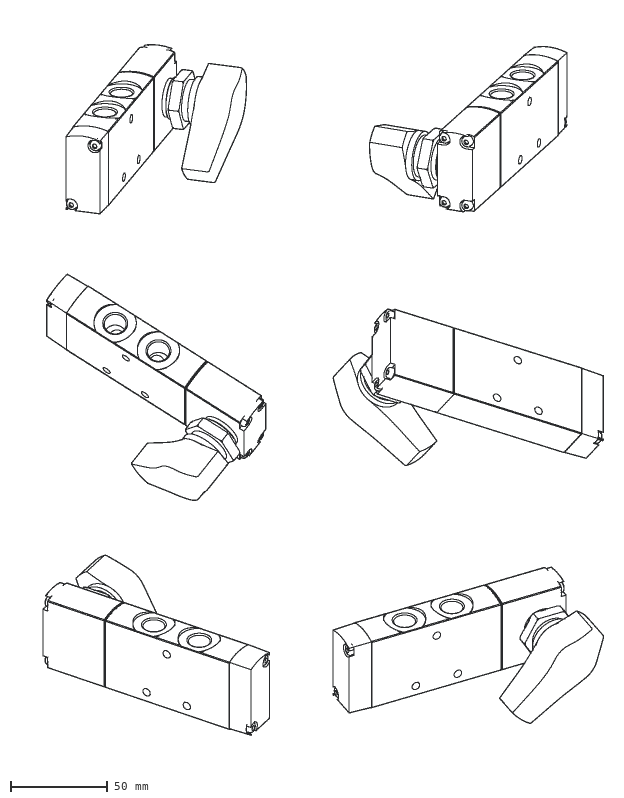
import cadquery as cq
import math


THICKNESS = 19.8
SHOULDER_HEIGHT = 42.0
CROWN_HEIGHT = 43.7
EDGE_CHAMFER = 0.4
CAP_INSET = 0.4
CAP_RIGHT_INSET = 0.1
CAP_TAPER = 1.5
COLLAR_SIDE_INSET = 0.4
COLLAR_TOP_INSET = 0.6

CAP_LENGTH = 13.0
BODY_END = 88.2
COLLAR_LENGTH = 0.8
HOUSING_END = 126.1

PORT_MIDDLE_Y = 50.8
PORT_SPACING = 27.5
SPOTFACE_DIAMETER = 22.0
PORT_DIAMETER = 11.4
PORT_MOUTH_DIAMETER = 13.0
PORT_MOUTH_DEPTH = 0.8
PORT_DEPTH = 13.0
PASSAGE_DIAMETER = 7.0
PASSAGE_DEPTH = 7.8
PASSAGE_OFFSET = 1.0

MOUNTING_DIAMETER = 4.4
UPPER_MOUNTING_Z = 34.0
LOWER_MOUNTING_Z = 6.0
LOWER_MOUNTING_SPACING = 24.5

RECESS_DIAMETER = 7.0
RECESS_DEPTH = 2.8
FRONT_SCREW_SIDE_DISTANCE = 3.5
REAR_SCREW_SIDE_DISTANCE = 3.6
FRONT_LOWER_SCREW_Z = 3.5
FRONT_UPPER_SCREW_Z = 38.4
REAR_LOWER_SCREW_Z = 3.2
REAR_UPPER_SCREW_Z = 39.3
HEAD_DIAMETER = 6.0
HEAD_RIM_HEIGHT = 0.8
HEAD_HEIGHT = 2.6
HEAD_FLAT_DIAMETER = 3.0
DOME_BULGE = 0.4
SOCKET_DIAMETER = 2.5
SOCKET_DEPTH = 1.3

OPERATOR_Y = 111.9
OPERATOR_Z = 21.1
STEM_DIAMETER = 22.0
NECK_DIAMETER = 20.5
NECK_GROOVE_DEPTH = 0.4
NECK_END_X = 22.1
NUT_START_X = 24.8
NUT_END_X = 30.8
NUT_ACROSS_FLATS = 27.0
NUT_CHAMFER = 0.5
FLANGE_START_X = 34.8
FLANGE_DIAMETER = 26.0
LEVER_START_X = 38.3
LEVER_PEAK_X = 59.5

LEVER_ANGLE = 45
TIP_RADIUS = 41.5
TIP_HALF_WIDTH = 7.2
ARM_START = 24.0
ARM_START_HALF_WIDTH = 8.7
HUB_FRONT = 3.8
HUB_REAR = 6.5
ARM_BLEND_SAG = 0.5
TAIL_BLEND_SAG = 0.1
TAIL_START = 14.5
TAIL_START_HALF_WIDTH = 7.1
TAIL_RADIUS = 20.6
TAIL_HALF_WIDTH = 4.7
END_FILLET = 1.3

FACE_CROSS_RADIUS = 51.7
FACE_LENGTH_RADIUS = 80.2
FACE_SLOPE = 9.5
FACE_MARGIN = 2.6
FACE_MARGIN_ANGLE = 5


def crowned_section(start, end, left=0.0, bottom=0.0, right=0.0, top=0.0, taper=0.0):
    """Bar of the common section between two Y positions, inset on each side by the given amounts.

    A taper in degrees narrows the bar from its start to its end.
    """
    middle_x = (left + THICKNESS - right) / 2
    return (
        cq.Workplane("XZ", origin=(0, start, 0))
        .moveTo(left, bottom)
        .lineTo(THICKNESS - right, bottom)
        .lineTo(THICKNESS - right, SHOULDER_HEIGHT - top)
        .threePointArc((middle_x, CROWN_HEIGHT - top), (left, SHOULDER_HEIGHT - top))
        .close()
        .extrude(start - end, taper=taper)
    )


def box_between(x_range, y_range, z_range):
    """Box given by its lowest and highest X, Y and Z."""
    sizes = [high - low for low, high in (x_range, y_range, z_range)]
    corner = (x_range[0], y_range[0], z_range[0])
    return cq.Workplane("XY", origin=corner).box(*sizes, centered=False)


def end_plane(x, y, z, outward):
    """Plane on an end face at the given point; outward is -1 or 1 along Y."""
    return cq.Plane(origin=(x, y, z), xDir=(1, 0, 0), normal=(0, outward, 0))


def screw_recess(x, end_y, z, outward):
    """Round recess that goes into an end face."""
    plane = end_plane(x, end_y, z, outward)
    return cq.Workplane(plane).circle(RECESS_DIAMETER / 2).extrude(-RECESS_DEPTH)


def screw_head(x, end_y, z, outward):
    """Button head with a round socket, standing on the floor of its recess."""
    floor_y = end_y - outward * RECESS_DEPTH
    middle_radius = (HEAD_DIAMETER + HEAD_FLAT_DIAMETER) / 4 + DOME_BULGE
    middle_height = (HEAD_RIM_HEIGHT + HEAD_HEIGHT) / 2 + DOME_BULGE
    socket_floor = HEAD_HEIGHT - SOCKET_DEPTH
    plane = cq.Plane(origin=(x, floor_y, z), xDir=(1, 0, 0), normal=(0, 0, outward))
    return (
        cq.Workplane(plane)
        .lineTo(HEAD_DIAMETER / 2, 0)
        .lineTo(HEAD_DIAMETER / 2, HEAD_RIM_HEIGHT)
        .threePointArc((middle_radius, middle_height), (HEAD_FLAT_DIAMETER / 2, HEAD_HEIGHT))
        .lineTo(SOCKET_DIAMETER / 2, HEAD_HEIGHT)
        .lineTo(SOCKET_DIAMETER / 2, socket_floor)
        .lineTo(0, socket_floor)
        .close()
        .revolve(360, (0, 0), (0, 1))
    )


def make_valve_body():
    body = crowned_section(CAP_LENGTH, BODY_END).edges("|Y").chamfer(EDGE_CHAMFER)
    middle_x = THICKNESS / 2

    for side in (-1, 1):
        port_y = PORT_MIDDLE_Y + side * PORT_SPACING / 2
        passage_y = port_y - side * PASSAGE_OFFSET
        face = cq.Workplane("XY", origin=(middle_x, port_y, SHOULDER_HEIGHT))
        spotface = face.circle(SPOTFACE_DIAMETER / 2).extrude(CROWN_HEIGHT - SHOULDER_HEIGHT)
        bore = face.circle(PORT_DIAMETER / 2).extrude(-PORT_DEPTH)
        mouth = (
            face.circle(PORT_MOUTH_DIAMETER / 2)
            .workplane(offset=-PORT_MOUTH_DEPTH)
            .circle(PORT_DIAMETER / 2)
            .loft()
        )
        passage = (
            cq.Workplane("XY", origin=(middle_x, passage_y, SHOULDER_HEIGHT - PORT_DEPTH))
            .circle(PASSAGE_DIAMETER / 2)
            .extrude(-PASSAGE_DEPTH)
        )
        body = body.cut(spotface).cut(bore).cut(mouth).cut(passage)

    mounting_points = [
        (PORT_MIDDLE_Y, UPPER_MOUNTING_Z),
        (PORT_MIDDLE_Y - LOWER_MOUNTING_SPACING / 2, LOWER_MOUNTING_Z),
        (PORT_MIDDLE_Y + LOWER_MOUNTING_SPACING / 2, LOWER_MOUNTING_Z),
    ]
    mounting_holes = (
        cq.Workplane("YZ").pushPoints(mounting_points).circle(MOUNTING_DIAMETER / 2).extrude(THICKNESS)
    )
    return body.cut(mounting_holes)


def make_front_cap():
    """Cap that tapers to its free end, with screws in opposite corners whose recesses break the walls."""
    cap = crowned_section(
        CAP_LENGTH, 0, left=CAP_INSET, bottom=CAP_INSET, right=CAP_RIGHT_INSET, taper=CAP_TAPER
    )
    left_x = FRONT_SCREW_SIDE_DISTANCE
    right_x = THICKNESS - FRONT_SCREW_SIDE_DISTANCE
    for x, z in ((left_x, FRONT_LOWER_SCREW_Z), (right_x, FRONT_UPPER_SCREW_Z)):
        cap = cap.cut(screw_recess(x, 0, z, -1)).union(screw_head(x, 0, z, -1))
    return cap


def on_operator_axis(shape):
    """Move a shape that is built around the X axis onto the operator axis."""
    return shape.translate((0, OPERATOR_Y, OPERATOR_Z))


def make_stem():
    """Turned stem with a rounded groove at the housing and a flange under the lever."""
    neck_radius = NECK_DIAMETER / 2
    groove_middle = ((THICKNESS + NECK_END_X) / 2, neck_radius - NECK_GROOVE_DEPTH)
    return (
        cq.Workplane("XY")
        .moveTo(THICKNESS, 0)
        .lineTo(THICKNESS, neck_radius)
        .threePointArc(groove_middle, (NECK_END_X, neck_radius))
        .lineTo(NECK_END_X, STEM_DIAMETER / 2)
        .lineTo(FLANGE_START_X, STEM_DIAMETER / 2)
        .lineTo(FLANGE_START_X, FLANGE_DIAMETER / 2)
        .lineTo(LEVER_START_X, FLANGE_DIAMETER / 2)
        .lineTo(LEVER_START_X, 0)
        .close()
        .revolve(360, (0, 0), (1, 0))
    )


def make_nut():
    """Hexagonal nut with two corners along Y, its corners turned off at both faces."""
    across_corners = NUT_ACROSS_FLATS / math.cos(math.pi / 6)
    length = NUT_END_X - NUT_START_X
    plane = cq.Workplane("YZ", origin=(NUT_START_X, 0, 0))
    rounding = plane.circle(across_corners / 2).extrude(length).faces("<X or >X").chamfer(NUT_CHAMFER)
    return plane.polygon(6, across_corners).extrude(length).intersect(rounding)


def make_rear_housing():
    """Housing with a collar against the valve body, a screw in each end corner, and the stem and nut."""
    collar_end = BODY_END + COLLAR_LENGTH
    collar = crowned_section(
        BODY_END, collar_end, left=COLLAR_SIDE_INSET, right=COLLAR_SIDE_INSET, top=COLLAR_TOP_INSET
    )
    housing = crowned_section(collar_end, HOUSING_END).edges("|Y").chamfer(EDGE_CHAMFER).union(collar)

    half_recess = RECESS_DIAMETER / 2
    depth = (HOUSING_END - RECESS_DEPTH, HOUSING_END)
    lower_band = (0, REAR_LOWER_SCREW_Z + half_recess)
    upper_band = (REAR_UPPER_SCREW_Z - half_recess, REAR_UPPER_SCREW_Z + half_recess)
    left_x = REAR_SCREW_SIDE_DISTANCE
    right_x = THICKNESS - REAR_SCREW_SIDE_DISTANCE

    for x, x_range in ((left_x, (0, left_x)), (right_x, (right_x, THICKNESS))):
        for z, z_range in ((REAR_LOWER_SCREW_Z, lower_band), (REAR_UPPER_SCREW_Z, upper_band)):
            opening = box_between(x_range, depth, z_range)
            recess = screw_recess(x, HOUSING_END, z, 1)
            head = screw_head(x, HOUSING_END, z, 1)
            housing = housing.cut(opening).cut(recess).union(head)
    return housing.union(on_operator_axis(make_stem().union(make_nut())))


def blend_middle(start, end, sag):
    """Middle point of a shallow arc from start to end that lies sag to the left of the chord."""
    chord_x = end[0] - start[0]
    chord_y = end[1] - start[1]
    chord = math.hypot(chord_x, chord_y)
    middle_x = (start[0] + end[0]) / 2 - sag * chord_y / chord
    middle_y = (start[1] + end[1]) / 2 + sag * chord_x / chord
    return (middle_x, middle_y)


def lever_prism():
    """Lever outline pointing to -Z, with hollow blends from the round hub to the arm and the tail."""
    hub_radius = FLANGE_DIAMETER / 2
    tip_z = -math.sqrt(TIP_RADIUS**2 - TIP_HALF_WIDTH**2)
    tail_z = math.sqrt(TAIL_RADIUS**2 - TAIL_HALF_WIDTH**2)
    arm = (ARM_START_HALF_WIDTH, -ARM_START)
    hub_front = (math.sqrt(hub_radius**2 - HUB_FRONT**2), -HUB_FRONT)
    hub_rear = (math.sqrt(hub_radius**2 - HUB_REAR**2), HUB_REAR)
    tail = (TAIL_START_HALF_WIDTH, TAIL_START)
    arm_blend = blend_middle(arm, hub_front, ARM_BLEND_SAG)
    tail_blend = blend_middle(hub_rear, tail, TAIL_BLEND_SAG)

    def mirrored(point):
        return (-point[0], point[1])

    return (
        cq.Workplane("YZ", origin=(LEVER_START_X, 0, 0))
        .moveTo(-TIP_HALF_WIDTH, tip_z)
        .threePointArc((0, -TIP_RADIUS), (TIP_HALF_WIDTH, tip_z))
        .lineTo(*arm)
        .threePointArc(arm_blend, hub_front)
        .threePointArc((hub_radius, 0), hub_rear)
        .threePointArc(tail_blend, tail)
        .lineTo(TAIL_HALF_WIDTH, tail_z)
        .threePointArc((0, TAIL_RADIUS), (-TAIL_HALF_WIDTH, tail_z))
        .lineTo(*mirrored(tail))
        .threePointArc(mirrored(tail_blend), mirrored(hub_rear))
        .threePointArc((-hub_radius, 0), mirrored(hub_front))
        .threePointArc(mirrored(arm_blend), mirrored(arm))
        .close()
        .extrude(LEVER_PEAK_X - LEVER_START_X)
    )


def lever_cross_section():
    """Section across the lever, wider and deeper than the lever, with the crowned face on top."""
    half_width = FLANGE_DIAMETER / 2 + FACE_MARGIN
    edge_x = LEVER_PEAK_X - FACE_CROSS_RADIUS + math.sqrt(FACE_CROSS_RADIUS**2 - half_width**2)
    floor_x = LEVER_START_X - FACE_MARGIN
    return (
        cq.Workplane("XY")
        .moveTo(floor_x, -half_width)
        .lineTo(edge_x, -half_width)
        .threePointArc((LEVER_PEAK_X, 0), (edge_x, half_width))
        .lineTo(floor_x, half_width)
        .close()
    )


def lever_face_solid():
    """Solid under the lever face: the cross section follows an arc and then a straight slope."""
    center_x = LEVER_PEAK_X - FACE_LENGTH_RADIUS
    axis_start = (center_x, 0, 0)
    axis_end = (center_x, 1, 0)
    tail_angle = math.degrees(math.atan(TAIL_RADIUS / (LEVER_START_X - center_x))) + FACE_MARGIN_ANGLE
    arc_part = lever_cross_section().revolve(tail_angle + FACE_SLOPE, axis_start, axis_end)
    arc_part = arc_part.rotate(axis_start, axis_end, -tail_angle)
    sloped_part = lever_cross_section().extrude(-TIP_RADIUS).rotate(axis_start, axis_end, FACE_SLOPE)
    return arc_part.union(sloped_part)


def make_lever():
    """Lever that lies against the flange and points towards -Y and -Z."""
    lever = lever_prism().intersect(lever_face_solid())
    for end in ("<Z", ">Z"):
        lever = lever.faces(end).edges(">X").fillet(END_FILLET)
    return on_operator_axis(lever.rotate((0, 0, 0), (1, 0, 0), -LEVER_ANGLE))


valve_body = make_valve_body()
front_cap = make_front_cap()
rear_housing = make_rear_housing()
lever = make_lever()

bodies = [valve_body, front_cap, rear_housing, lever]
result = cq.Compound.makeCompound([body.solids().val() for body in bodies])